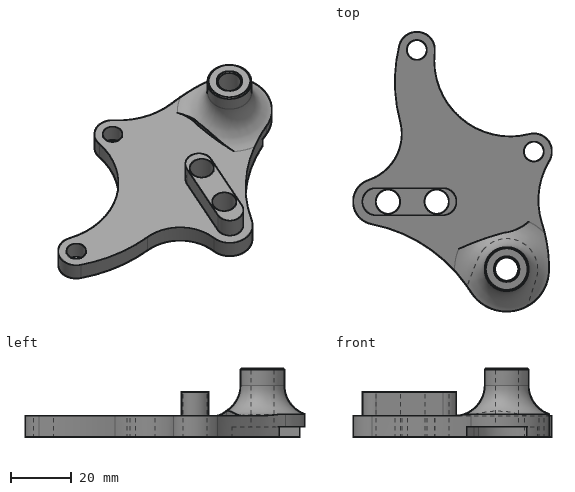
import cadquery as cq
import math


plate_thickness = 7.0
boss_base_radius = 14.0
arm_center = (-29.6, 72.2)
ear_center = (8.95, 38.75)
lug_radius = 6.0
lug_hole_radius = 3.2
lobe_center = (-43.1, 22.2)
lobe_radius = 7.6

wide_radius = 50.0
medium_radius = 25.0
small_radius = 16.0
arm_bow_height = 61.7

pad_length = 31.0
pad_width = 8.95
pad_top = 14.85
pad_hole_radius = 4.0
pad_hole_x = (-39.1, -23.1)

boss_top = 22.6
neck_radius = 7.3
flare_radius = 10.0
bore_radius = 3.8
rim_chamfer = 0.5
flare_outer_radius = neck_radius + flare_radius

relief_depth = 3.3
relief_radius = 10.15
relief_right_angle = -18.0
relief_left_angle = 157.0
relief_left_length = 3.7
relief_reach = 18.45
relief_mouth = (-13.1, -5.4)


def meeting_point(a, distance_a, b, distance_b):
    """Point at the given distances from a and b, on the left when going from a to b."""
    span = math.dist(a, b)
    ux, uy = (b[0] - a[0]) / span, (b[1] - a[1]) / span
    along = (distance_a**2 - distance_b**2 + span**2) / (2 * span)
    aside = math.sqrt(distance_a**2 - along**2)
    return (a[0] + along * ux - aside * uy, a[1] + along * uy + aside * ux)


def toward(start, target, distance):
    """Point at a distance from start in the direction of target."""
    ratio = distance / math.dist(start, target)
    return (start[0] + ratio * (target[0] - start[0]), start[1] + ratio * (target[1] - start[1]))


def polar(radius, degrees):
    angle = math.radians(degrees)
    return (radius * math.cos(angle), radius * math.sin(angle))


def arc_to(outline, center, start, end, clockwise=False):
    """Extend the outline from start to end around center."""
    first = math.atan2(start[1] - center[1], start[0] - center[0])
    last = math.atan2(end[1] - center[1], end[0] - center[0])
    if clockwise:
        middle = first - ((first - last) % math.tau) / 2
    else:
        middle = first + ((last - first) % math.tau) / 2
    radius = math.dist(center, start)
    through = (center[0] + radius * math.cos(middle), center[1] + radius * math.sin(middle))
    return outline.threePointArc(through, end)


def plate_outline():
    """Counterclockwise chain of tangent arcs, starting beside the boss."""
    boss_center = (0, 0)
    side_bow = (boss_base_radius - wide_radius, 0)
    side_hollow = meeting_point(
        ear_center, lug_radius + medium_radius, side_bow, wide_radius + medium_radius
    )
    top_hollow = meeting_point(
        arm_center, lug_radius + medium_radius, ear_center, lug_radius + medium_radius
    )
    bow_rise = arm_center[1] - arm_bow_height
    bow_run = math.sqrt((wide_radius - lug_radius) ** 2 - bow_rise**2)
    arm_bow = (arm_center[0] + bow_run, arm_bow_height)
    arm_hollow = meeting_point(
        lobe_center, lobe_radius + small_radius, arm_bow, wide_radius + small_radius
    )
    lower_hollow = meeting_point(
        boss_center, boss_base_radius + wide_radius, lobe_center, lobe_radius + wide_radius
    )

    start = (boss_base_radius, 0)
    arcs = [
        (side_bow, toward(side_bow, side_hollow, wide_radius), False),
        (side_hollow, toward(ear_center, side_hollow, lug_radius), True),
        (ear_center, toward(ear_center, top_hollow, lug_radius), False),
        (top_hollow, toward(arm_center, top_hollow, lug_radius), True),
        (arm_center, toward(arm_bow, arm_center, wide_radius), False),
        (arm_bow, toward(arm_bow, arm_hollow, wide_radius), False),
        (arm_hollow, toward(lobe_center, arm_hollow, lobe_radius), True),
        (lobe_center, toward(lobe_center, lower_hollow, lobe_radius), False),
        (lower_hollow, toward(boss_center, lower_hollow, boss_base_radius), True),
        (boss_center, start, False),
    ]
    outline = cq.Workplane("XY").moveTo(*start)
    for center, end, hollow in arcs:
        outline = arc_to(outline, center, start, end, clockwise=hollow)
        start = end
    return outline.close()


def pad():
    center_x = lobe_center[0] + (pad_length - pad_width) / 2
    return cq.Workplane("XY").center(center_x, lobe_center[1]).slot2D(pad_length, pad_width).extrude(pad_top)


def flared_boss():
    """Neck that widens in a quarter arc down to the plate, trimmed to the plate edge and the back wall."""
    flare_top = plate_thickness + flare_radius
    arc_offset = flare_radius * math.sqrt(0.5)
    flare_middle = (flare_outer_radius - arc_offset, flare_top - arc_offset)
    body = (
        cq.Workplane("XZ")
        .lineTo(flare_outer_radius, 0)
        .lineTo(flare_outer_radius, plate_thickness)
        .threePointArc(flare_middle, (neck_radius, flare_top))
        .lineTo(neck_radius, boss_top - rim_chamfer)
        .lineTo(neck_radius - rim_chamfer, boss_top)
        .lineTo(0, boss_top)
        .close()
        .revolve(360, (0, 0), (0, 1))
    )
    wall_left = (-15.9, 6.6)
    wall_right = (7.3, 15.7)
    margin = 2 * flare_outer_radius
    kept = (
        cq.Workplane("XY")
        .moveTo(-margin, -margin)
        .lineTo(-margin, wall_left[1])
        .lineTo(*wall_left)
        .threePointArc((-8.1, 9.8), (-0.9, 12.0))
        .threePointArc((4.1, 13.5), wall_right)
        .lineTo(wall_right[0], margin)
        .lineTo(margin, margin)
        .lineTo(margin, -margin)
        .close()
        .extrude(boss_top)
    )
    return body.intersect(kept).intersect(plate_outline().extrude(boss_top))


def boss_relief():
    """Round-ended recess in the underside, open through the plate edge below the boss."""
    right = polar(relief_radius, relief_right_angle)
    left = polar(relief_radius, relief_left_angle)
    right_run = polar(relief_reach, relief_right_angle - 90)
    left_run = polar(relief_left_length, relief_left_angle + 90)
    right_end = (right[0] + right_run[0], right[1] + right_run[1])
    left_bend = (left[0] + left_run[0], left[1] + left_run[1])
    outline = cq.Workplane("XY").moveTo(*right_end).lineTo(*right)
    outline = arc_to(outline, (0, 0), right, left)
    return (
        outline.lineTo(*left_bend)
        .lineTo(*relief_mouth)
        .lineTo(-relief_reach, -relief_reach)
        .close()
        .extrude(relief_depth)
    )


def holes(centers, radius):
    return cq.Workplane("XY").pushPoints(centers).circle(radius).extrude(boss_top)


def bore():
    rim = boss_top - rim_chamfer
    lead_in = cq.Workplane("XY").workplane(offset=rim).circle(bore_radius)
    lead_in = lead_in.workplane(offset=rim_chamfer).circle(bore_radius + rim_chamfer).loft()
    return holes([(0, 0)], bore_radius).union(lead_in)


result = (
    plate_outline()
    .extrude(plate_thickness)
    .union(pad())
    .union(flared_boss())
    .cut(holes([arm_center, ear_center], lug_hole_radius))
    .cut(holes([(x, lobe_center[1]) for x in pad_hole_x], pad_hole_radius))
    .cut(bore())
    .cut(boss_relief())
)